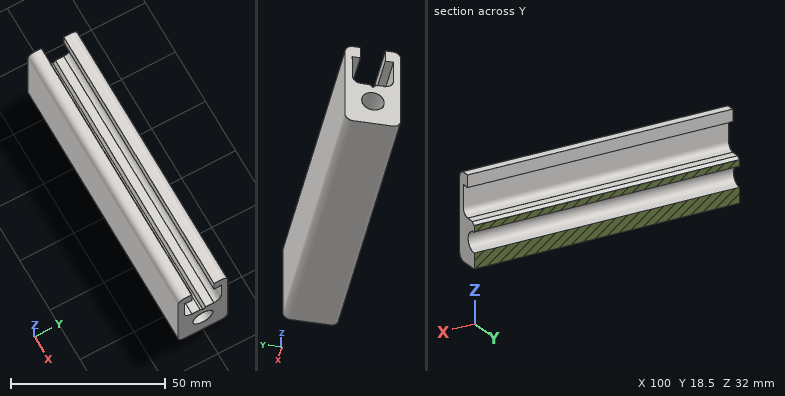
import cadquery as cq

length = 100.0
width = 18.5
height = 32.0
outer_radius = 2.6

slot_width = 8.2
lip_thickness = 4.5
cavity_width = 13.6
cavity_floor_depth = 15.4
cavity_radius = 2.9

groove_width = 2.0
groove_depth = groove_width / 2

bore_diameter = 7.4
bore_height = 9.5

floor_z = height - cavity_floor_depth
cavity_height = cavity_floor_depth - lip_thickness


def bar_along_x(bar_width, bar_height, bottom_z):
    """Full-length rectangular bar centred on the XZ plane."""
    return (
        cq.Workplane("XY")
        .box(length, bar_width, bar_height, centered=(True, True, False))
        .translate((0, 0, bottom_z))
    )


body = bar_along_x(width, height, 0).edges("|X").fillet(outer_radius)

cavity = bar_along_x(cavity_width, cavity_height, floor_z)
cavity = cavity.faces("<Z").edges("|X").fillet(cavity_radius)
opening = bar_along_x(slot_width, cavity_floor_depth, floor_z)

groove = (
    cq.Workplane("YZ")
    .polyline([
        (-groove_width / 2, floor_z),
        (0, floor_z - groove_depth),
        (groove_width / 2, floor_z),
    ])
    .close()
    .extrude(length / 2, both=True)
)

bore = (
    cq.Workplane("YZ")
    .center(0, bore_height)
    .circle(bore_diameter / 2)
    .extrude(length / 2, both=True)
)

result = body.cut(cavity).cut(opening).cut(groove).cut(bore)